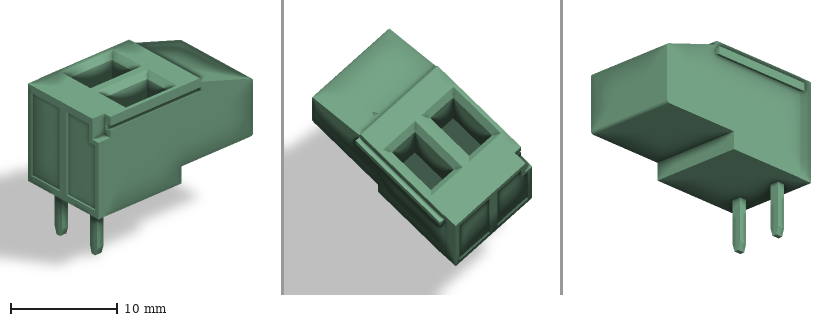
import cadquery as cq


pole_pitch = 5.0
pole_count = 2
pole_centers = [(i - (pole_count - 1) / 2) * pole_pitch for i in range(pole_count)]
half_width = pole_count * pole_pitch / 2

housing_depth = 19.5
housing_height = 10.5
left_overhang = 0.05
plate_thickness = 1.5
step_y = 10.5
step_height = 1.85
shoulder_y = 13.0
slope_top = 10.05
slope_bottom = 8.0
corner_radius = 0.3

notch_width = 0.85
notch_floor = 8.25
recess_margin = 0.5
recess_bottom = 0.75
recess_top = 9.7
recess_depth = 0.2

dovetail_z = 9.28
dovetail_reach = 0.6
dovetail_root = 0.45
dovetail_tip = 0.85

opening_y = 7.05
opening_width = 3.0
opening_length = 5.3
opening_lead_in = 0.6
lead_in_angle = 45
opening_depth = 6.0

pin_y = 2.0
pin_width = 1.0
pin_thickness = 0.8
pin_length = 5.4
pin_tip_width = 0.5
pin_tip_length = 0.8

mark_y = 13.5
mark_width = 0.5
mark_length = 0.45
mark_depth = 0.1


def box(x_range, y_range, z_range):
    """Box spanning the given (low, high) range on each axis."""
    size = [high - low for low, high in (x_range, y_range, z_range)]
    corner = (x_range[0], y_range[0], z_range[0])
    return cq.Workplane("XY").box(*size, centered=False).translate(corner)


def make_housing():
    """Side profile swept across the full width, with rounded rear corners."""
    profile = [
        (plate_thickness, 0),
        (step_y, 0),
        (step_y, step_height),
        (housing_depth, step_height),
        (housing_depth, slope_bottom),
        (shoulder_y, slope_top),
        (shoulder_y, housing_height),
        (plate_thickness, housing_height),
    ]
    rounded_corners = [
        (housing_depth, step_height),
        (housing_depth, slope_bottom),
        (shoulder_y, housing_height),
    ]
    left = -half_width - left_overhang
    housing = (
        cq.Workplane("YZ", origin=(left, 0, 0))
        .polyline(profile)
        .close()
        .extrude(half_width - left)
    )
    for y, z in rounded_corners:
        corner_edge = cq.selectors.NearestToPointSelector((0, y, z))
        housing = housing.edges("|X").edges(corner_edge).fillet(corner_radius)
    return housing


def corner_notch(margin):
    """Clearance at the plate's top +X corner, grown by margin to the left and below."""
    return box(
        (half_width - notch_width - margin, half_width),
        (0, plate_thickness),
        (notch_floor - margin, housing_height),
    )


def make_front_plate():
    plate = box((-half_width, half_width), (0, plate_thickness), (0, housing_height))
    recess_half_width = pole_pitch / 2 - recess_margin
    for x in pole_centers:
        recess = box(
            (x - recess_half_width, x + recess_half_width),
            (0, recess_depth),
            (recess_bottom, recess_top),
        )
        plate = plate.cut(recess.cut(corner_notch(recess_margin)))
    return plate.cut(corner_notch(0))


def make_dovetail(root_x, tip_x):
    """Dovetail bar along Y, widening from root_x to tip_x."""
    outline = [
        (root_x, dovetail_z - dovetail_root / 2),
        (tip_x, dovetail_z - dovetail_tip / 2),
        (tip_x, dovetail_z + dovetail_tip / 2),
        (root_x, dovetail_z + dovetail_root / 2),
    ]
    return (
        cq.Workplane("XZ", origin=(0, plate_thickness, 0))
        .polyline(outline)
        .close()
        .extrude(plate_thickness - shoulder_y)
    )


def make_opening(x):
    """Rectangular well with a sloped lead-in at the top face."""
    well = box(
        (x - opening_width / 2, x + opening_width / 2),
        (opening_y - opening_length / 2, opening_y + opening_length / 2),
        (housing_height - opening_depth, housing_height),
    )
    lead_in = (
        cq.Workplane("XY", origin=(x, opening_y, housing_height))
        .rect(opening_width + 2 * opening_lead_in, opening_length + 2 * opening_lead_in)
        .extrude(-opening_lead_in, taper=lead_in_angle)
    )
    return well.union(lead_in)


def make_pin(x):
    """Flat pin with a tapered tip, hanging below the housing."""
    taper_start = pin_tip_length - pin_length
    outline = [
        (x - pin_width / 2, 0),
        (x - pin_width / 2, taper_start),
        (x - pin_tip_width / 2, -pin_length),
        (x + pin_tip_width / 2, -pin_length),
        (x + pin_width / 2, taper_start),
        (x + pin_width / 2, 0),
    ]
    return (
        cq.Workplane("XZ", origin=(0, pin_y - pin_thickness / 2, 0))
        .polyline(outline)
        .close()
        .extrude(-pin_thickness)
    )


def make_mark(x):
    """Triangle pointing to +Y, sunk to an even depth below the slope."""
    slope_fall = (slope_top - slope_bottom) / (housing_depth - shoulder_y)

    def floor_height(y):
        return slope_top - slope_fall * (y - shoulder_y) - mark_depth

    mark_end = mark_y + mark_length
    triangle = (
        cq.Workplane("XY")
        .polyline([(x - mark_width / 2, mark_y), (x + mark_width / 2, mark_y), (x, mark_end)])
        .close()
        .extrude(housing_height)
    )
    above_floor = (
        cq.Workplane("YZ")
        .polyline([
            (mark_y, floor_height(mark_y)),
            (mark_end, floor_height(mark_end)),
            (mark_end, housing_height),
            (mark_y, housing_height),
        ])
        .close()
        .extrude(half_width, both=True)
    )
    return triangle.intersect(above_floor)


rail = make_dovetail(-half_width, -half_width - dovetail_reach)
groove = make_dovetail(half_width, half_width - dovetail_reach)

result = make_housing().union(make_front_plate()).union(rail).cut(groove)
for pole_x in pole_centers:
    result = result.cut(make_opening(pole_x)).union(make_pin(pole_x))
result = result.cut(make_mark(pole_centers[0]))